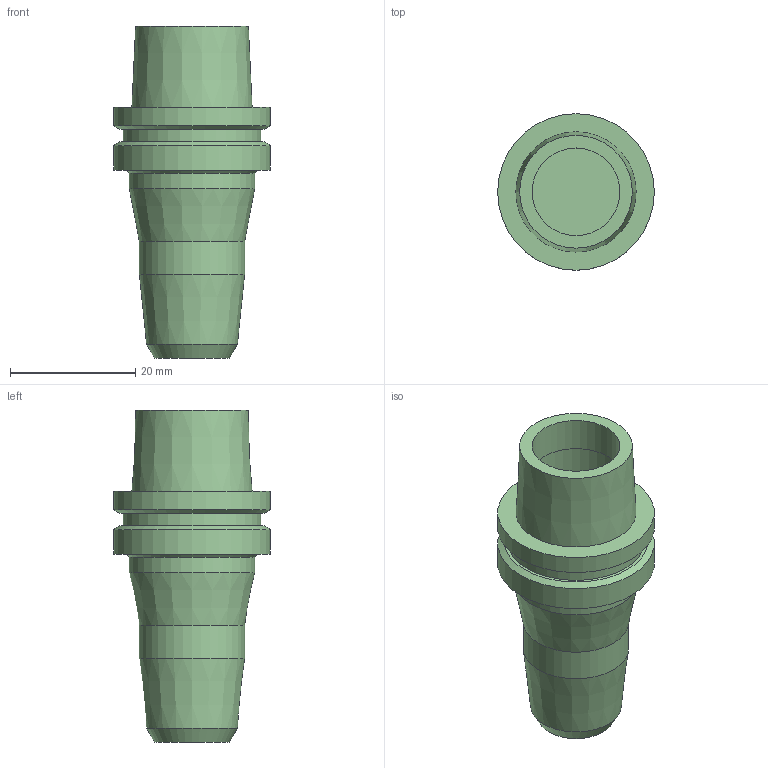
import cadquery as cq
import math

TOTAL_LENGTH = 53.0
SHANK_LENGTH = 13.0
FLANGE_THICKNESS = 10.0
COLLAR_END_DEPTH = 26.0
NECK_START_DEPTH = 34.4
NECK_END_DEPTH = 39.6
TIP_CHAMFER_LENGTH = 2.2

SHANK_END_DIAMETER = 18.0
SHANK_BASE_DIAMETER = 19.2
FLANGE_DIAMETER = 25.0
COLLAR_DIAMETER = 20.0
NECK_DIAMETER = 16.8
NOSE_DIAMETER = 14.5
TIP_DIAMETER = 12.0

GROOVE_CENTRE_DEPTH = 17.5
GROOVE_WIDTH = 2.0
GROOVE_DIAMETER = 22.0
GROOVE_BEVEL_DIAMETER = 23.0
GROOVE_BEVEL_ANGLE = 30.0

COLLAR_BEVEL = 0.5

BORE_DIAMETER = 14.0
BORE_LIP_DEPTH = 5.5
CHAMBER_DIAMETER = 16.0
BORE_DEPTH = SHANK_LENGTH


def revolve_profile(outline):
    """Revolve (diameter, depth below the top face) points about Z; the tip lies at Z = 0."""
    points = [(diameter / 2, TOTAL_LENGTH - depth) for diameter, depth in outline]
    return cq.Workplane("XZ").polyline(points).close().revolve(360, (0, 0, 0), (0, 1, 0))


def make_body():
    """Shank, grooved flange, collar, neck and nose as one solid of revolution."""
    flange_bottom = SHANK_LENGTH + FLANGE_THICKNESS
    groove_top = GROOVE_CENTRE_DEPTH - GROOVE_WIDTH / 2
    groove_bottom = GROOVE_CENTRE_DEPTH + GROOVE_WIDTH / 2
    bevel_height = (FLANGE_DIAMETER - GROOVE_BEVEL_DIAMETER) / 2 * math.tan(math.radians(GROOVE_BEVEL_ANGLE))
    outline = [
        (0, 0),
        (SHANK_END_DIAMETER, 0),
        (SHANK_BASE_DIAMETER, SHANK_LENGTH),
        (FLANGE_DIAMETER, SHANK_LENGTH),
        (FLANGE_DIAMETER, groove_top - bevel_height),
        (GROOVE_BEVEL_DIAMETER, groove_top),
        (GROOVE_DIAMETER, groove_top),
        (GROOVE_DIAMETER, groove_bottom),
        (GROOVE_BEVEL_DIAMETER, groove_bottom),
        (FLANGE_DIAMETER, groove_bottom + bevel_height),
        (FLANGE_DIAMETER, flange_bottom),
        (COLLAR_DIAMETER + 2 * COLLAR_BEVEL, flange_bottom),
        (COLLAR_DIAMETER, flange_bottom + COLLAR_BEVEL),
        (COLLAR_DIAMETER, COLLAR_END_DEPTH),
        (NECK_DIAMETER, NECK_START_DEPTH),
        (NECK_DIAMETER, NECK_END_DEPTH),
        (NOSE_DIAMETER, TOTAL_LENGTH - TIP_CHAMFER_LENGTH),
        (TIP_DIAMETER, TOTAL_LENGTH),
        (0, TOTAL_LENGTH),
    ]
    return revolve_profile(outline)


def make_bore():
    """Blind bore with an internal lip, open at the shank end."""
    outline = [
        (0, 0),
        (BORE_DIAMETER, 0),
        (BORE_DIAMETER, BORE_LIP_DEPTH),
        (CHAMBER_DIAMETER, BORE_LIP_DEPTH),
        (CHAMBER_DIAMETER, BORE_DEPTH),
        (0, BORE_DEPTH),
    ]
    return revolve_profile(outline)


result = make_body().cut(make_bore())